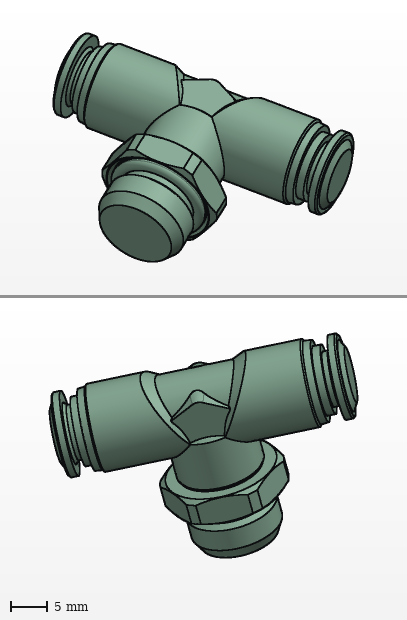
import cadquery as cq
import math


half_length = 21.05
stud_end = 21.55
body_radius = 6.28
core_radius = 5.48

collar_end_radius = 3.95
collar_cone_radius = 5.15
collar_cone_length = 0.67
flange_radius = 6.05
flange_chamfer = 0.25
flange_inner = 19.13
neck_radius = 3.95
neck_flare = 0.45
neck_inner = 17.85
sleeve_radius = 4.97
sleeve_inner = 16.7
lip_radius = 5.85
lip_taper = 0.13
lip_inner = 15.6
socket_start = 15.35

slant_tip = 2.5
outer_slope = math.tan(math.radians(30))
shoulder_foot_offset = 3.1
shoulder_foot_slope = 0.46

pad_height = 5.55
pad_depth = 2.53
pad_draft = 16.0
pad_top_y = 3.75
pad_nose_radius = 1.6
pad_wall_angle = math.radians(28)
pad_side_half_width = 4.2

stud_body_end = 9.9
nut_start = 10.35
nut_end = 14.5
stud_body_chamfer = 0.25
shoulder_top = 1.95
nut_across_flats = 16.05
nut_corner_radius = 8.85
nut_face_radius = 7.95
nut_chamfer_angle = 30.0
undercut_radius = 5.5
undercut_end = 15.95
thread_radius = 6.55
thread_start = 16.55
tip_start = 19.75
tip_radius = 5.55

seal_section_radius = 0.85
seal_ring_radius = 6.35
seal_distance = 14.35
seat_face_radius = 7.85
seat_floor_radius = 7.25
seat_depth = 0.67


def revolve_on_x(points):
    return cq.Workplane("XY").polyline(points).close().revolve(360, (0, 0, 0), (1, 0, 0))


def revolve_on_stud(points):
    """Revolve (radius, distance along -Y) points about the Y axis."""
    profile = [(radius, -distance) for radius, distance in points]
    return cq.Workplane("XY").polyline(profile).close().revolve(360, (0, 0, 0), (0, 1, 0))


def slanted_section(radius, axis_distance, slope):
    """Cut a cylinder along X by the plane x = -axis_distance - slope * y.

    The elliptical section ends in a straight chord at y = -slant_tip.
    """
    half_angle = math.degrees(math.acos(-slant_tip / radius))
    arc = cq.Edge.makeEllipse(
        radius * math.hypot(1, slope),
        radius,
        cq.Vector(-axis_distance, 0, 0),
        cq.Vector(1, slope, 0),
        cq.Vector(-slope, 1, 0),
        -half_angle,
        half_angle,
    )
    chord = cq.Edge.makeLine(arc.endPoint(), arc.startPoint())
    return cq.Wire.assembleEdges([arc, chord])


def make_left_socket():
    collar_face = half_length - collar_cone_length
    outline = [
        (half_length, 0),
        (half_length, collar_end_radius),
        (collar_face, collar_cone_radius),
        (collar_face, flange_radius - flange_chamfer),
        (collar_face - flange_chamfer, flange_radius),
        (flange_inner, flange_radius),
        (flange_inner, neck_radius + neck_flare),
        (flange_inner - neck_flare, neck_radius),
        (neck_inner, neck_radius),
        (neck_inner, sleeve_radius),
        (sleeve_inner, sleeve_radius),
        (sleeve_inner, lip_radius),
        (lip_inner, lip_radius + lip_taper),
        (socket_start, body_radius),
        (0, body_radius),
        (0, 0),
    ]
    socket = revolve_on_x([(-x, radius) for x, radius in outline])

    axis_distance = slant_tip * (1 + outer_slope)
    reach = body_radius + 0.42
    trim = (
        cq.Workplane("XY")
        .polyline([
            (-axis_distance - outer_slope * reach, reach),
            (-axis_distance + outer_slope * reach, -reach),
            (reach, -reach),
            (reach, reach),
        ])
        .close()
        .extrude(reach, both=True)
    )

    shoulder = cq.Solid.makeLoft(
        [
            slanted_section(body_radius, axis_distance, outer_slope),
            slanted_section(core_radius, shoulder_foot_offset, shoulder_foot_slope),
        ],
        True,
    )
    return socket.cut(trim).union(cq.Workplane(shoulder))


def make_core():
    return cq.Workplane("YZ").circle(core_radius).extrude(socket_start / 2, both=True)


def make_top_pad():
    """Drafted pentagon whose upper walls run tangent into a rounded nose."""
    nose_x = pad_nose_radius * math.sin(pad_wall_angle)
    nose_y = pad_top_y - pad_nose_radius * (1 - math.cos(pad_wall_angle))
    side_y = nose_y - (pad_side_half_width - nose_x) * math.tan(pad_wall_angle)
    return (
        cq.Workplane("XY", origin=(0, 0, pad_height))
        .moveTo(nose_x, nose_y)
        .threePointArc((0, pad_top_y), (-nose_x, nose_y))
        .lineTo(-pad_side_half_width, side_y)
        .lineTo(-slant_tip, -slant_tip)
        .lineTo(slant_tip, -slant_tip)
        .lineTo(pad_side_half_width, side_y)
        .close()
        .extrude(-pad_depth, taper=-pad_draft)
    )


def make_stud():
    relief_radius = body_radius - stud_body_chamfer
    return revolve_on_stud([
        (0, 0),
        (pad_height, 0),
        (pad_height, shoulder_top),
        (body_radius, slant_tip),
        (body_radius, stud_body_end),
        (relief_radius, stud_body_end + stud_body_chamfer),
        (relief_radius, nut_end - seat_depth),
        (undercut_radius, nut_end - seat_depth),
        (undercut_radius, undercut_end),
        (thread_radius, thread_start),
        (thread_radius, tip_start),
        (tip_radius, stud_end),
        (0, stud_end),
    ])


def make_nut():
    length = nut_end - nut_start
    hexagon = (
        cq.Workplane("XZ", origin=(0, -nut_start, 0))
        .polygon(6, nut_across_flats / math.cos(math.pi / 6))
        .extrude(length)
    )
    chamfer = (nut_corner_radius - nut_face_radius) * math.tan(math.radians(nut_chamfer_angle))
    envelope = revolve_on_stud([
        (0, nut_start),
        (nut_face_radius, nut_start),
        (nut_corner_radius, nut_start + chamfer),
        (nut_corner_radius, nut_end - chamfer),
        (nut_face_radius, nut_end),
        (seat_face_radius, nut_end),
        (seat_floor_radius, nut_end - seat_depth),
        (0, nut_end - seat_depth),
    ])
    return hexagon.intersect(envelope)


def make_seal():
    return (
        cq.Workplane("XY")
        .center(seal_ring_radius, -seal_distance)
        .circle(seal_section_radius)
        .revolve(360, (-seal_ring_radius, 0, 0), (-seal_ring_radius, 1, 0))
    )


left_socket = make_left_socket()
top_pad = make_top_pad()

result = (
    make_core()
    .union(left_socket)
    .union(left_socket.mirror("YZ"))
    .union(top_pad)
    .union(top_pad.mirror("XY"))
    .union(make_stud())
    .union(make_nut())
    .union(make_seal())
)